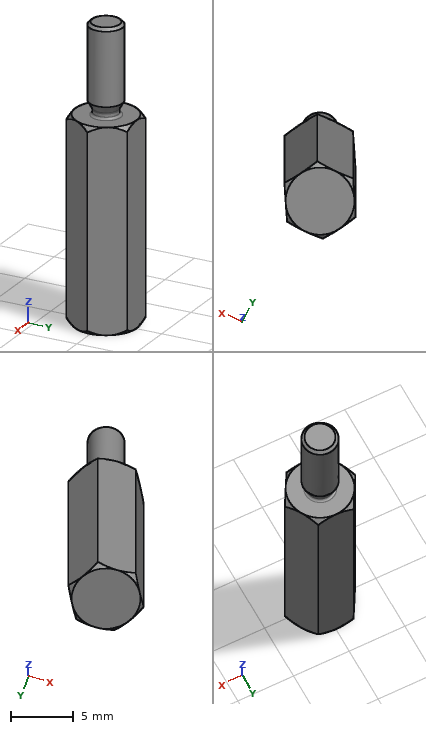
import cadquery as cq
import math

total_height = 26.0
across_corners = 6.35
body_height = 18.0
body_face_diameter = 5.49

stud_diameter = 3.0
stud_tip_diameter = 2.47
stud_tip_chamfer_height = 0.25
neck_diameter = 2.2
neck_fillet_radius = 0.2
neck_height = 1.22
shoulder_angle = math.radians(30)


def hex_body():
    """Hexagonal prism with 45 degree conical chamfers on both ends."""
    prism = cq.Workplane("XY").polygon(6, across_corners).extrude(body_height)
    corner_chamfer = (across_corners - body_face_diameter) / 2
    envelope = (
        cq.Workplane("XY")
        .circle(across_corners / 2)
        .extrude(body_height)
        .faces("<Z or >Z")
        .chamfer(corner_chamfer)
    )
    return prism.intersect(envelope)


def stud():
    """Turned stud: filleted neck root, tapered shoulder, shank and chamfered tip."""
    neck_radius = neck_diameter / 2
    root_radius = neck_radius + neck_fillet_radius
    stud_radius = stud_diameter / 2
    fillet_mid_offset = neck_fillet_radius * math.sin(math.radians(45))
    fillet_mid = (
        root_radius - fillet_mid_offset,
        body_height + neck_fillet_radius - fillet_mid_offset,
    )
    shoulder_height = (stud_radius - neck_radius) / math.tan(shoulder_angle)
    shoulder_base = body_height + neck_height - shoulder_height
    tangent_length = neck_fillet_radius * math.tan(shoulder_angle / 2)
    blend_start = (neck_radius, shoulder_base - tangent_length)

    def blend_point(turn):
        """Point on the shoulder blend after the profile has turned by this angle."""
        return (
            blend_start[0] + neck_fillet_radius * (1 - math.cos(turn)),
            blend_start[1] + neck_fillet_radius * math.sin(turn),
        )

    return (
        cq.Workplane("XZ")
        .moveTo(0, body_height / 2)
        .lineTo(root_radius, body_height / 2)
        .lineTo(root_radius, body_height)
        .threePointArc(fillet_mid, (neck_radius, body_height + neck_fillet_radius))
        .lineTo(*blend_start)
        .threePointArc(blend_point(shoulder_angle / 2), blend_point(shoulder_angle))
        .lineTo(stud_radius, body_height + neck_height)
        .lineTo(stud_radius, total_height - stud_tip_chamfer_height)
        .lineTo(stud_tip_diameter / 2, total_height)
        .lineTo(0, total_height)
        .close()
        .revolve(360, (0, 0, 0), (0, 1, 0))
    )


result = hex_body().union(stud())